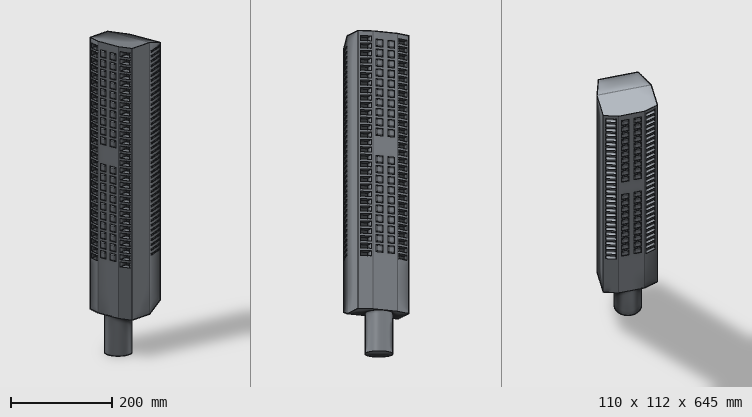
import cadquery as cq

total_height = 645.0
body_width = 110.0
total_depth = 112.0

post_height = 82.5
post_diameter = 55.0
post_axis_to_back = 80.0

button_rise = 2.0
body_height = total_height - post_height
body_depth = total_depth - button_rise
back_y = post_axis_to_back
front_y = back_y - body_depth
taper_depth = 49.0
taper_inset = 15.0
front_flat_width = 53.0
front_bevel_depth = 9.0

vent_count = 43
vent_span = 420.0
vent_pitch = vent_span / (vent_count - 1)
vent_height = 3.0
vent_depth = 39.0
vent_back_wall = 2.5
first_vent_from_top = 21.0

window_count = 30
window_pitch = 1.5 * vent_pitch
window_width = 20.0
window_height = vent_pitch
window_depth = 20.0
window_offset_x = 40.0
window_top_margin = 10.0

button_groups = 2
buttons_per_group = 10
button_pitch = 2 * vent_pitch
button_size = 15.0
button_rounding = 2.5
button_root = 3.0
button_column_spacing = 25.0
group_spacing = 235.5
button_top_margin = 16.0


def make_front_body():
    """Straight front part of the body, with both front corners beveled."""
    half_width = body_width / 2
    half_flat = front_flat_width / 2
    bevel_y = front_y + front_bevel_depth
    taper_y = back_y - taper_depth
    outline = [
        (-half_width, taper_y),
        (-half_width, bevel_y),
        (-half_flat, front_y),
        (half_flat, front_y),
        (half_width, bevel_y),
        (half_width, taper_y),
    ]
    return cq.Workplane("XY").polyline(outline).close().extrude(body_height)


def make_tapered_back():
    """Rear part of the body, narrowing on all four sides toward the back."""
    return (
        cq.Workplane("XZ", origin=(0, back_y - taper_depth, body_height / 2))
        .rect(body_width, body_height)
        .workplane(offset=-taper_depth)
        .rect(body_width - 2 * taper_inset, body_height - 2 * taper_inset)
        .loft(ruled=True)
    )


def make_post():
    return cq.Workplane("XY").circle(post_diameter / 2).extrude(-post_height)


def column_points(x, first_from_top, pitch, count):
    """Points going down a column at the given X, as (X, Z) pairs."""
    top_z = body_height - first_from_top
    return [(x, top_z - i * pitch) for i in range(count)]


def make_windows():
    """Rectangular pockets cut straight back into the two front bevels."""
    first_from_top = window_top_margin + window_height / 2
    points = []
    for side in (-1, 1):
        x = side * window_offset_x
        points += column_points(x, first_from_top, window_pitch, window_count)
    return (
        cq.Workplane("XZ", origin=(0, front_y, 0))
        .pushPoints(points)
        .rect(window_width, window_height)
        .extrude(-window_depth)
    )


def make_vents():
    """Thin slots passing through the full width, closed at the back."""
    vent_y = back_y - vent_back_wall - vent_depth / 2
    return (
        cq.Workplane("YZ")
        .pushPoints(column_points(vent_y, first_vent_from_top, vent_pitch, vent_count))
        .rect(vent_depth, vent_height)
        .extrude(body_width / 2, both=True)
    )


def make_buttons():
    """Square buttons with a rounded front rim, rooted a little inside the body."""
    points = []
    for side in (-1, 1):
        x = side * button_column_spacing / 2
        for group in range(button_groups):
            first_from_top = button_top_margin + button_size / 2 + group * group_spacing
            points += column_points(x, first_from_top, button_pitch, buttons_per_group)
    return (
        cq.Workplane("XZ", origin=(0, front_y + button_root, 0))
        .pushPoints(points)
        .rect(button_size, button_size)
        .extrude(button_root + button_rise)
        .faces("<Y")
        .edges()
        .fillet(button_rounding)
    )


body = make_front_body().union(make_tapered_back()).union(make_post())
result = body.cut(make_windows()).cut(make_vents()).union(make_buttons())